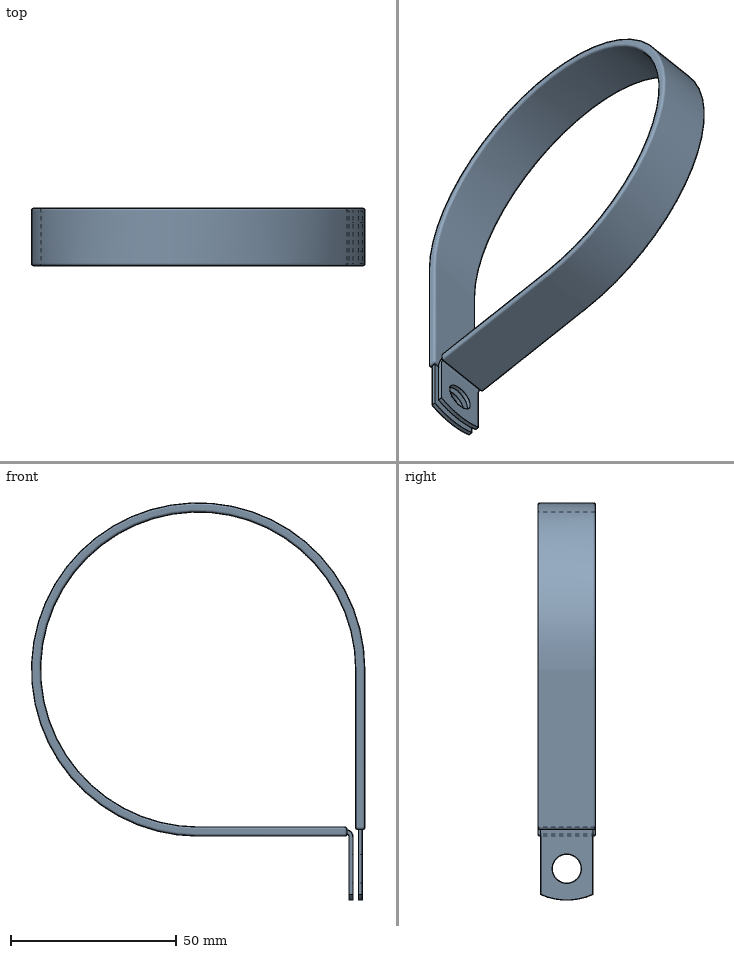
import cadquery as cq
import math

bore_radius = 95.25 / 2
strap_thickness = 1.2192
strap_width = 15.875
cushion_wall = 0.79375
cushion_edge_radius = 0.72
hole_diameter = 8.73125
hole_drop = 9.825
hole_to_tip = 9.525
tip_radius = 19.05
bend_inner_radius = 1.0
foot_end_x = 45.0
tab_gap = 2 * cushion_wall

cushion_thickness = strap_thickness + 2 * cushion_wall
cushion_width = strap_width + 2 * cushion_wall
loop_radius = bore_radius + cushion_thickness
strap_inner_radius = bore_radius + cushion_wall
strap_outer_radius = strap_inner_radius + strap_thickness
leg_end_z = -strap_inner_radius
bent_tab_outer_x = strap_inner_radius - tab_gap
bent_tab_inner_x = bent_tab_outer_x - strap_thickness
bend_outer_radius = bend_inner_radius + strap_thickness
bend_x = bent_tab_outer_x - bend_outer_radius
bend_z = -strap_inner_radius - bend_outer_radius
hole_z = -loop_radius - hole_drop
tip_z = hole_z - hole_to_tip
overlap = cushion_wall


def centred_extrusion(outline, width):
    """Extrude an XZ outline symmetrically about the Y = 0 plane."""
    return outline.extrude(width / 2, both=True)


def make_cushion():
    """Three-quarter loop with a vertical leg and a horizontal foot, rounded on all outer edges."""
    outer_mid = loop_radius * math.sqrt(0.5)
    inner_mid = bore_radius * math.sqrt(0.5)
    outline = (
        cq.Workplane("XZ")
        .moveTo(loop_radius, leg_end_z)
        .lineTo(loop_radius, 0)
        .threePointArc((-outer_mid, outer_mid), (0, -loop_radius))
        .lineTo(foot_end_x, -loop_radius)
        .lineTo(foot_end_x, -bore_radius)
        .lineTo(0, -bore_radius)
        .threePointArc((-inner_mid, inner_mid), (bore_radius, 0))
        .lineTo(bore_radius, leg_end_z)
        .close()
    )
    body = centred_extrusion(outline, cushion_width)
    side_edges = body.faces("<Y or >Y").edges()
    end_region = cq.selectors.BoxSelector(
        (foot_end_x - overlap, -cushion_width, -loop_radius - overlap),
        (loop_radius + overlap, cushion_width, leg_end_z + cushion_thickness),
    )
    end_edges = body.edges("|Y").edges(end_region)
    return side_edges.add(end_edges).fillet(cushion_edge_radius)


def make_straight_tab():
    """Metal tab running straight down out of the vertical leg."""
    outline = (
        cq.Workplane("XZ")
        .moveTo(strap_inner_radius, leg_end_z + overlap)
        .lineTo(strap_outer_radius, leg_end_z + overlap)
        .lineTo(strap_outer_radius, tip_z)
        .lineTo(strap_inner_radius, tip_z)
        .close()
    )
    return centred_extrusion(outline, strap_width)


def make_bent_tab():
    """Metal tab leaving the foot horizontally and bending down beside the straight tab."""
    outer_mid = bend_outer_radius * math.sqrt(0.5)
    inner_mid = bend_inner_radius * math.sqrt(0.5)
    outline = (
        cq.Workplane("XZ")
        .moveTo(bend_x - overlap, -strap_inner_radius)
        .lineTo(bend_x, -strap_inner_radius)
        .threePointArc((bend_x + outer_mid, bend_z + outer_mid), (bent_tab_outer_x, bend_z))
        .lineTo(bent_tab_outer_x, tip_z)
        .lineTo(bent_tab_inner_x, tip_z)
        .lineTo(bent_tab_inner_x, bend_z)
        .threePointArc((bend_x + inner_mid, bend_z + inner_mid), (bend_x, -strap_outer_radius))
        .lineTo(bend_x - overlap, -strap_outer_radius)
        .close()
    )
    return centred_extrusion(outline, strap_width)


def make_tab_envelope():
    """Block in the YZ plane with a rounded lower end that trims both tab tips."""
    half_width = strap_width / 2
    corner_z = tip_z + tip_radius - math.sqrt(tip_radius**2 - half_width**2)
    return (
        cq.Workplane("YZ")
        .moveTo(-half_width, 0)
        .lineTo(-half_width, corner_z)
        .threePointArc((0, tip_z), (half_width, corner_z))
        .lineTo(half_width, 0)
        .close()
        .extrude(loop_radius)
    )


def make_bolt_hole():
    """Cylinder along X through both tabs."""
    return cq.Workplane("YZ").center(0, hole_z).circle(hole_diameter / 2).extrude(loop_radius)


tabs = make_straight_tab().add(make_bent_tab()).combine()
tabs = tabs.intersect(make_tab_envelope()).cut(make_bolt_hole())
result = make_cushion().union(tabs)